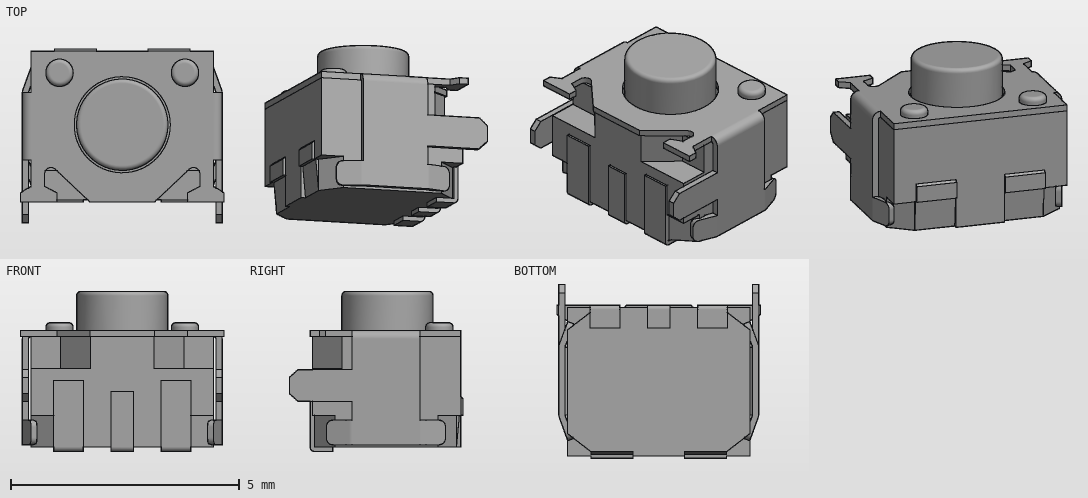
import cadquery as cq
import math

SIDES = (-1, 1)

housing_half_width = 2.0
housing_front = -1.64
housing_rear = 1.605
housing_top = 2.41

sheet = 0.14
cover_top = housing_top + sheet
cover_front = -1.69
cover_half_width = 2.225
hook_neck_y = -1.35
hook_head_y = -1.485
hook_inner_neck = 1.695
hook_inner_head = 1.43
window_front_x = 0.705
window_apex_y = -0.75
window_radius = 0.14

leg_gap = 0.05
leg_inner_x = housing_half_width + leg_gap
leg_outer_x = leg_inner_x + sheet
bend_outer_radius = leg_gap + sheet
leg_rear = 0.708
leg_front = -0.775
leg_bottom = 0.05
prong_tip = -2.145
prong_bottom = 1.0
prong_top = 1.69
prong_chamfer_y = 0.185
prong_chamfer_z = 0.17

flap_top = 0.59
flap_angle = math.radians(20)
flap_reach = 0.56
flap_corner_radius = 0.15

plunger_diameter = 2.0
plunger_hole_diameter = 2.1
plunger_top = 3.405
edge_round = 0.1

boss_diameter = 0.6
boss_x = 1.37
boss_y = 1.135
boss_top = 2.72

terminal_thickness = 0.1
terminal_front = cover_front
terminal_back = terminal_front + terminal_thickness
terminal_foot_length = 0.5
outer_terminal_width = 0.65
outer_terminal_x = 1.175
outer_terminal_top = 1.455
middle_terminal_width = 0.5
middle_terminal_top = 1.215

shoulder_z = 1.72
shoulder_rear = -0.995
shoulder_front_x = 0.7
corner_cut_top = 0.695
corner_cut_front_x = 1.42
corner_cut_front_y = -1.15
corner_cut_rear_y = 1.11
rib_inner_x = 0.56
rib_outer_x = 1.48
rib_top = 1.105
rib_projection = 0.05
relief_top_depth = 0.035
relief_bottom_depth = 0.1


def prism_z(points, bottom, top):
    """Straight prism on an XY outline between two heights."""
    return cq.Workplane("XY").workplane(offset=bottom).polyline(points).close().extrude(top - bottom)


def prism_x(points, start, end):
    """Straight prism on a YZ outline between two X positions."""
    return cq.Workplane("YZ").workplane(offset=start).polyline(points).close().extrude(end - start)


def box(x_range, y_range, z_range):
    """Block given by its limits along each axis."""
    (x0, x1), (y0, y1), (z0, z1) = x_range, y_range, z_range
    return cq.Workplane("XY").box(x1 - x0, y1 - y0, z1 - z0, centered=False).translate((x0, y0, z0))


def both_sides(shape):
    """A shape together with its mirror image in the YZ plane."""
    return [shape, shape.mirror("YZ")]


def make_terminal(center_x, width, top):
    bottom = -terminal_thickness
    foot_end = terminal_front + terminal_foot_length
    outline = [
        (terminal_front, bottom),
        (foot_end, bottom),
        (foot_end, 0),
        (terminal_back, 0),
        (terminal_back, top),
        (terminal_front, top),
    ]
    strip = prism_x(outline, center_x - width / 2, center_x + width / 2)
    return strip.edges("|X and <Y and <Z").fillet(terminal_thickness)


def make_plunger():
    height = plunger_top - housing_top
    plunger = cq.Workplane("XY").workplane(offset=housing_top).circle(plunger_diameter / 2).extrude(height)
    return plunger.faces(">Z").edges().fillet(edge_round)


def make_cover_plate():
    right_edge = [
        (housing_half_width, housing_rear),
        (housing_half_width, hook_neck_y),
        (cover_half_width, hook_head_y),
        (cover_half_width, cover_front),
    ]
    left_edge = [(-x, y) for x, y in reversed(right_edge)]
    plate = prism_z(right_edge + left_edge, housing_top, cover_top)

    window = prism_z(
        [
            (window_front_x, cover_front),
            (hook_inner_neck, window_apex_y),
            (hook_inner_neck, hook_neck_y),
            (hook_inner_head, hook_head_y),
            (hook_inner_head, cover_front),
        ],
        housing_top,
        cover_top,
    )
    window = window.edges("|Z and >Y").fillet(window_radius)
    for cutter in both_sides(window):
        plate = plate.cut(cutter)

    bosses = [(side * boss_x, boss_y) for side in SIDES]
    holes = cq.Workplane("XY").workplane(offset=housing_top).pushPoints(bosses).circle(boss_diameter / 2)
    plate = plate.cut(holes.extrude(sheet))
    opening = cq.Workplane("XY").workplane(offset=housing_top).circle(plunger_hole_diameter / 2)
    return plate.cut(opening.extrude(sheet))


def make_leg_bend():
    center_z = cover_top - bend_outer_radius
    diagonal = math.sqrt(0.5)
    outer_mid = (housing_half_width + bend_outer_radius * diagonal, center_z + bend_outer_radius * diagonal)
    inner_mid = (housing_half_width + leg_gap * diagonal, center_z + leg_gap * diagonal)
    return (
        cq.Workplane("XZ", origin=(0, leg_rear, 0))
        .moveTo(housing_half_width, cover_top)
        .threePointArc(outer_mid, (leg_outer_x, center_z))
        .lineTo(leg_inner_x, center_z)
        .threePointArc(inner_mid, (housing_half_width, housing_top))
        .close()
        .extrude(leg_rear - leg_front)
    )


def make_leg_plate():
    top = cover_top - bend_outer_radius
    outline = [
        (leg_rear, leg_bottom),
        (leg_rear, top),
        (leg_front, top),
        (leg_front, prong_top),
        (prong_tip + prong_chamfer_y, prong_top),
        (prong_tip, prong_top - prong_chamfer_z),
        (prong_tip, prong_bottom + prong_chamfer_z),
        (prong_tip + prong_chamfer_y, prong_bottom),
        (leg_front, prong_bottom),
        (leg_front, leg_bottom),
    ]
    return prism_x(outline, leg_inner_x, leg_outer_x)


def make_flap(leg_edge, direction):
    """Flap leaving the leg edge along Y (direction +1 or -1), bent inward about the leg's inner corner."""

    def bend_point(angle):
        """Point on the outer face of the bend at an angle from its start."""
        return (leg_inner_x + sheet * math.cos(angle), leg_edge + direction * sheet * math.sin(angle))

    bend_end_x, bend_end_y = bend_point(flap_angle)
    tip_y = leg_edge + direction * flap_reach
    tip_x = bend_end_x - abs(tip_y - bend_end_y) * math.tan(flap_angle)
    inner_tip_x = tip_x - sheet * math.cos(flap_angle)
    inner_tip_y = tip_y - direction * sheet * math.sin(flap_angle)
    flap = (
        cq.Workplane("XY", origin=(0, 0, leg_bottom))
        .moveTo(leg_inner_x, leg_edge)
        .lineTo(leg_outer_x, leg_edge)
        .threePointArc(bend_point(flap_angle / 2), (bend_end_x, bend_end_y))
        .lineTo(tip_x, tip_y)
        .lineTo(inner_tip_x, inner_tip_y)
        .close()
        .extrude(flap_top - leg_bottom)
    )
    end_center = ((tip_x + inner_tip_x) / 2, (tip_y + inner_tip_y) / 2, (leg_bottom + flap_top) / 2)
    end_face = flap.faces(cq.selectors.NearestToPointSelector(end_center))
    return end_face.edges("not |Z").fillet(flap_corner_radius)


def make_cover():
    cover = make_cover_plate()
    leg_parts = [
        make_leg_bend(),
        make_leg_plate(),
        make_flap(leg_rear, 1),
        make_flap(leg_front, -1),
    ]
    for leg_part in leg_parts:
        for copy in both_sides(leg_part):
            cover = cover.union(copy)
    return cover


def make_shoulder_cut():
    """Upper front corner notch with a 45 degree inner wall."""
    run = shoulder_rear - housing_front
    outline = [
        (shoulder_front_x, housing_front),
        (shoulder_front_x + run, shoulder_rear),
        (housing_half_width, shoulder_rear),
        (housing_half_width, housing_front),
    ]
    return prism_z(outline, shoulder_z, housing_top)


def make_front_corner_cut():
    outline = [
        (housing_half_width, corner_cut_front_y),
        (corner_cut_front_x, terminal_back),
        (corner_cut_front_x, housing_front),
        (housing_half_width, housing_front),
    ]
    return prism_z(outline, 0, corner_cut_top)


def make_rear_corner_cut():
    outline = [
        (housing_half_width, corner_cut_rear_y),
        (rib_outer_x, housing_rear - relief_bottom_depth),
        (rib_outer_x, housing_rear),
        (housing_half_width, housing_rear),
    ]
    return prism_z(outline, 0, corner_cut_top)


def make_rib_relief():
    """Tapered recess in the rear face below a rib."""
    outline = [
        (housing_rear, 0),
        (housing_rear, corner_cut_top),
        (housing_rear - relief_top_depth, corner_cut_top),
        (housing_rear - relief_bottom_depth, 0),
    ]
    return prism_x(outline, rib_inner_x, rib_outer_x)


def make_rib():
    """Raised bar on the rear face with a sloped top."""
    rib_rear = housing_rear + rib_projection
    outline = [
        (housing_rear, corner_cut_top),
        (rib_rear, corner_cut_top),
        (rib_rear, rib_top - rib_projection),
        (housing_rear, rib_top),
    ]
    return prism_x(outline, rib_inner_x, rib_outer_x)


def make_boss():
    boss = cq.Workplane("XY", origin=(boss_x, boss_y, housing_top)).circle(boss_diameter / 2)
    return boss.extrude(boss_top - housing_top).faces(">Z").edges().fillet(edge_round)


def make_housing(cover, terminals):
    housing = box(
        (-housing_half_width, housing_half_width),
        (housing_front, housing_rear),
        (0, housing_top),
    )
    cuts = [make_shoulder_cut(), make_front_corner_cut(), make_rear_corner_cut(), make_rib_relief()]
    for cut in cuts:
        for copy in both_sides(cut):
            housing = housing.cut(copy)
    for feature in (make_rib(), make_boss()):
        for copy in both_sides(feature):
            housing = housing.union(copy)
    for neighbor in [cover, *terminals]:
        housing = housing.cut(neighbor)
    return housing


outer_terminals = [
    make_terminal(side * outer_terminal_x, outer_terminal_width, outer_terminal_top) for side in SIDES
]
middle_terminal = make_terminal(0, middle_terminal_width, middle_terminal_top)
terminals = [*outer_terminals, middle_terminal]

plunger = make_plunger()
cover = make_cover()
housing = make_housing(cover, terminals)

bodies = [housing, cover, plunger, *terminals]
result = cq.Compound.makeCompound([body.solids().val() for body in bodies])